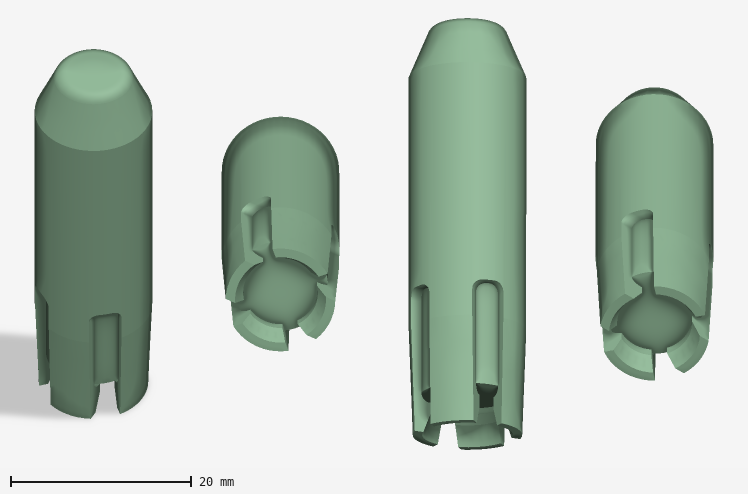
import cadquery as cq
import math

HEIGHT = 47.0
BODY_DIAMETER = 13.0
BODY_RADIUS = BODY_DIAMETER / 2
SHOULDER_Z = 41.05
NOSE_TOP_RADIUS = 4.0
NOSE_FILLET = 1.45
TAPER_START_Z = 12.0
FINGER_TIP_RADIUS = 6.05

CORE_RADIUS = 5.25
CORE_BOTTOM_Z = 4.5

HOOK_RADIUS = 4.15
HOOK_FILLET = 1.05
HOOK_LEDGE_Z = CORE_BOTTOM_Z - HOOK_FILLET
HOOK_LEAD_IN_Z = 2.25
MOUTH_RADIUS = 5.05

SLOT_TOP_Z = 16.1
SLOT_CORNER_RADIUS = 1.15
SLOT_STRAIGHT_WALL_X = 2.5
SLOT_DIAGONAL_OFFSET = 1.18
SLOT_REACH = 2 * BODY_RADIUS


def make_housing_blank():
    """Revolve the solid outer shape and round the nose."""
    blank = (
        cq.Workplane("XZ")
        .polyline([
            (0, 0),
            (FINGER_TIP_RADIUS, 0),
            (BODY_RADIUS, TAPER_START_Z),
            (BODY_RADIUS, SHOULDER_Z),
            (NOSE_TOP_RADIUS, HEIGHT),
            (0, HEIGHT),
        ])
        .close()
        .revolve(360, (0, 0, 0), (0, 1, 0))
    )
    return blank.faces(">Z").edges().fillet(NOSE_FILLET)


def make_bore():
    """Revolve the cavity: lead-in, hook throat, rounded ledge and bore."""
    arc_center_radius = CORE_RADIUS - HOOK_FILLET
    arc_mid_offset = HOOK_FILLET * math.sqrt(0.5)
    return (
        cq.Workplane("XZ")
        .moveTo(0, 0)
        .lineTo(MOUTH_RADIUS, 0)
        .lineTo(HOOK_RADIUS, HOOK_LEAD_IN_Z)
        .lineTo(HOOK_RADIUS, HOOK_LEDGE_Z)
        .lineTo(arc_center_radius, HOOK_LEDGE_Z)
        .threePointArc(
            (arc_center_radius + arc_mid_offset, CORE_BOTTOM_Z - arc_mid_offset),
            (CORE_RADIUS, CORE_BOTTOM_Z),
        )
        .lineTo(CORE_RADIUS, SHOULDER_Z)
        .lineTo(0, SHOULDER_Z)
        .close()
        .revolve(360, (0, 0, 0), (0, 1, 0))
    )


def make_slot(side_x, side_y):
    """One slot in the quadrant given by the signs, with rounded upper corners."""
    diagonal_shift = SLOT_DIAGONAL_OFFSET * math.sqrt(2)
    wedge_point_y = SLOT_STRAIGHT_WALL_X - diagonal_shift
    outline = [
        (SLOT_STRAIGHT_WALL_X, wedge_point_y),
        (SLOT_REACH, SLOT_REACH - diagonal_shift),
        (SLOT_STRAIGHT_WALL_X, SLOT_REACH),
    ]
    return (
        cq.Workplane("XY")
        .polyline([(side_x * x, side_y * y) for x, y in outline])
        .close()
        .extrude(SLOT_TOP_Z)
        .faces(">Z")
        .edges()
        .fillet(SLOT_CORNER_RADIUS)
    )


def make_housing():
    """Hollow housing with four snap fingers."""
    housing = make_housing_blank().cut(make_bore())
    for side_x in (-1, 1):
        for side_y in (-1, 1):
            housing = housing.cut(make_slot(side_x, side_y))
    return housing


def make_core():
    """Plain cylinder retained in the bore by the hooks."""
    return (
        cq.Workplane("XY")
        .workplane(offset=CORE_BOTTOM_Z)
        .circle(CORE_RADIUS)
        .extrude(SHOULDER_Z - CORE_BOTTOM_Z)
    )


housing = make_housing()
core = make_core()
result = cq.Compound.makeCompound([housing.solids().val(), core.val()])